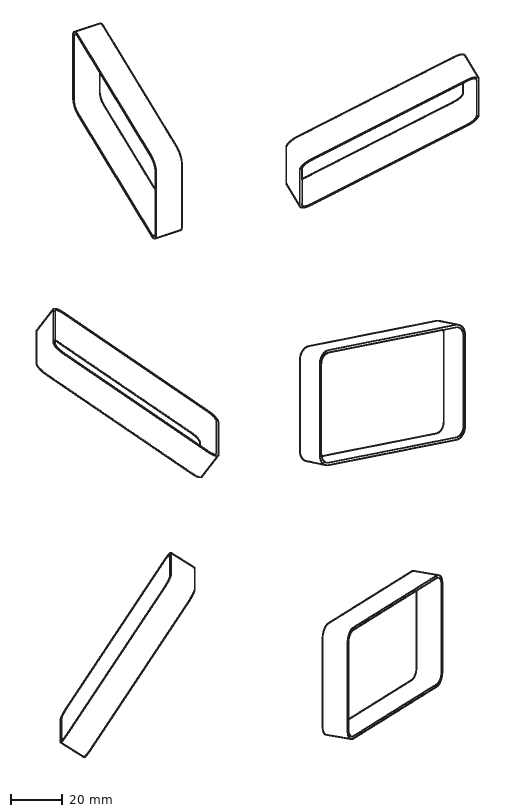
import cadquery as cq

length = 80.0
depth = 11.0
height = 46.0

wall = 1.0
outer_corner_radius = 5.0


def rounded_block(block_length, block_height, corner_radius):
    """Block centred on the origin, with its four edges along Y rounded."""
    block = cq.Workplane("XY").box(block_length, depth, block_height)
    return block.edges("|Y").fillet(corner_radius)


outer = rounded_block(length, height, outer_corner_radius)
opening = rounded_block(length - 2 * wall, height - 2 * wall, outer_corner_radius - wall)

result = outer.cut(opening)